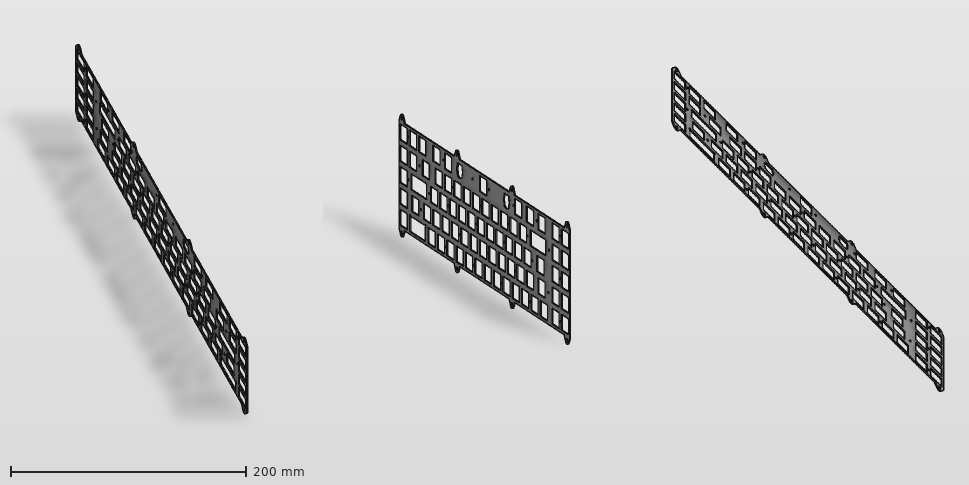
import cadquery as cq
import math

plate_width = 347.5
overall_height = 109.0
thickness = 1.2

steps_per_pitch = 8
plate_steps = 146
step = plate_width / plate_steps
pitch = steps_per_pitch * step

window_width = 14.5
window_height = 14.3
wide_window_width = 31.5
window_corner = 0.7
hole_diameter = 1.9

KEY = "key"
WIDE = "wide key"
KNOB = "knob"
GAP = "gap"
side_keys = [(KEY, 8), (KEY, 8), (GAP, 2)]
rows = [
    side_keys
    + [(KEY, 12), (KEY, 8), (KEY, 12), (KNOB, 8), (GAP, 12), (KEY, 8), (GAP, 12), (KNOB, 8)]
    + [(KEY, 12), (KEY, 8), (GAP, 4), (KEY, 8), (KEY, 8), (KEY, 8)],
    side_keys + [(WIDE, 18)] + [(KEY, 8)] * 10 + [(KEY, 14), (KEY, 8), (KEY, 8)],
    side_keys + [(KEY, 14)] + [(KEY, 8)] * 11 + [(WIDE, 18), (KEY, 8)],
    side_keys + [(KEY, 12)] + [(KEY, 8)] * 12 + [(KEY, 12), (KEY, 8)],
    side_keys + [(KEY, 8)] * 13 + [(WIDE, 16), (KEY, 8)],
]
plate_height = len(rows) * pitch

hole_rows = [
    [8, 28, 48, 69, 83, 108, 138],
    [17.5, 36, 52, 76, 100, 128.5],
    [8, 32, 56, 80, 104, 120, 138],
    [18, 46, 70, 94, 127],
    [8, 34, 58, 82, 106],
]

knob_half_width = 5.0
knob_top = 5.5
knob_radius = 7.0
recess_span = 11.8
recess_height = 4.0

ear_count = 4
ear_half_base = 5.5
ear_tip_radius = 2.8
ear_slot_width = 2.5
ear_slot_length = 3.0
ear_slot_depth = 3.5
ear_end_x = plate_width / 2 - ear_half_base
ear_spacing = 2 * ear_end_x / (ear_count - 1)


def grid_x(steps):
    """X of a place given in steps from the left edge."""
    return steps * step - plate_width / 2


def row_z(row):
    """Z of the centre line of a row."""
    return plate_height / 2 - (row + 0.5) * pitch


def slab(outlines):
    """Extrude outlines in the XZ plane to the plate thickness, centred on Y = 0."""
    return outlines.extrude(thickness / 2, both=True)


def sheet():
    """The mid-plane of the plate, where all outlines are drawn."""
    return cq.Workplane("XZ")


def centres(kind):
    """Centre points of everything of one kind in the rows."""
    points = []
    for row, items in enumerate(rows):
        start = 0
        for item_kind, width in items:
            if item_kind == kind:
                points.append((grid_x(start + width / 2), row_z(row)))
            start += width
    return points


def ear_points(distance_from_tip):
    """Points on the centre lines of all ears, at a distance inward from their tips."""
    z = overall_height / 2 - distance_from_tip
    points = []
    for index in range(ear_count):
        x = index * ear_spacing - ear_end_x
        points += [(x, z), (x, -z)]
    return points


def ear(x, tip_centre_z):
    """An ear with a round tip and straight flanks tangent to it; it reaches inward to Z = 0."""
    side = math.copysign(1, tip_centre_z)
    edge_z = plate_height / 2
    rise = abs(tip_centre_z) - edge_z
    flank_angle = math.asin(ear_tip_radius / math.hypot(ear_half_base, rise))
    normal_angle = math.atan2(rise, ear_half_base) + flank_angle
    tangent_x = ear_tip_radius * math.sin(normal_angle)
    tangent_z = abs(tip_centre_z) + ear_tip_radius * math.cos(normal_angle)
    outline = (
        sheet()
        .moveTo(x - ear_half_base, 0)
        .lineTo(x - ear_half_base, side * edge_z)
        .lineTo(x - tangent_x, side * tangent_z)
        .threePointArc((x, side * overall_height / 2), (x + tangent_x, side * tangent_z))
        .lineTo(x + ear_half_base, side * edge_z)
        .lineTo(x + ear_half_base, 0)
        .close()
    )
    return slab(outline)


def windows(kind, width):
    """Windows with rounded corners at the places of one kind."""
    outlines = sheet().pushPoints(centres(kind)).rect(width, window_height)
    return slab(outlines).edges("|Y").fillet(window_corner)


def knob_window(x, z):
    """Flat-topped window with a round bottom, widened by a recess on each side."""
    side_bottom = math.sqrt(knob_radius**2 - knob_half_width**2)
    outline = (
        sheet()
        .moveTo(x - knob_half_width, z + knob_top)
        .lineTo(x + knob_half_width, z + knob_top)
        .lineTo(x + knob_half_width, z - side_bottom)
        .threePointArc((x, z - knob_radius), (x - knob_half_width, z - side_bottom))
        .close()
    )
    recesses = sheet().center(x, z).rect(recess_span, recess_height)
    return slab(outline).union(slab(recesses))


def round_holes():
    """Holes along the rows, and one on each upper corner of the wide window in the bottom row."""
    points = []
    for row, places in enumerate(hole_rows):
        points += [(grid_x(place), row_z(row)) for place in places]
    wide_x, wide_z = centres(WIDE)[-1]
    corner_z = wide_z + window_height / 2
    points += [(wide_x + side * wide_window_width / 2, corner_z) for side in (-1, 1)]
    return slab(sheet().pushPoints(points).circle(hole_diameter / 2))


plate = slab(sheet().rect(plate_width, plate_height))
for ear_x, ear_z in ear_points(ear_tip_radius):
    plate = plate.union(ear(ear_x, ear_z))

plate = plate.cut(windows(KEY, window_width))
plate = plate.cut(windows(WIDE, wide_window_width))
for knob_x, knob_z in centres(KNOB):
    plate = plate.cut(knob_window(knob_x, knob_z))

plate = plate.cut(round_holes())
ear_slots = sheet().pushPoints(ear_points(ear_slot_depth)).slot2D(ear_slot_length, ear_slot_width, 90)
result = plate.cut(slab(ear_slots))